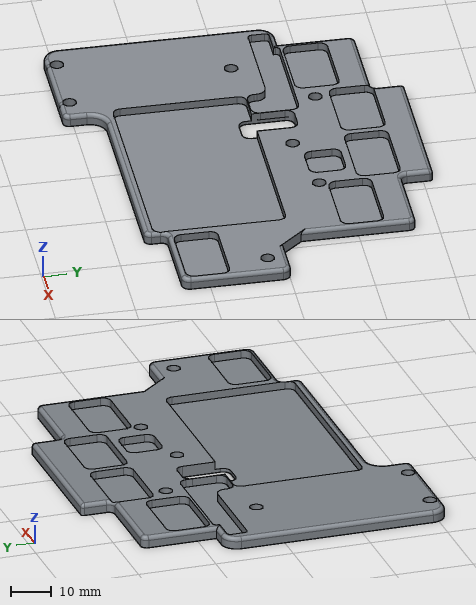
import cadquery as cq

LENGTH = 106.9
WIDTH = 84.8
THICKNESS = 3.0
LEG_RIGHT = 30.1
LEG_TOP = 57.5
BODY_BOTTOM = 10.0
BODY_RIGHT = 85.4
WING_BOTTOM = 15.5
WING_TOP = 42.7
SLOPE_LOWER_X = 95.6
SLOPE_UPPER_Y = 48.0
SHOULDER_LEFT = 7.7
SHOULDER_RIGHT = 91.0
SHOULDER_TOP = 76.7
TAB_LEFT = 30.9
TAB_RIGHT = 70.1

SHARP = 0
LEFT_CORNER_R = 4.0
LEG_INNER_R = 4.3
WING_CORNER_R = 2.0
SMALL_CORNER_R = 1.6
TAB_CORNER_R = 0.7
TOP_EDGE_R = 1.0
POCKET_R = 2.0

POCKET_DEPTH = 2.0
HOLE_DIAMETER = 3.3
HOLE_CENTERS = [
    (6.8, 2.6),
    (24.0, 2.6),
    (16.3, 44.4),
    (32.4, 62.4),
    (51.9, 53.1),
    (70.3, 56.3),
    (101.0, 37.7),
]

POCKETS = [
    (9.1, 58.4, 19.0, 11.1),
    (29.7, 66.1, 18.9, 11.1),
    (50.2, 66.1, 19.1, 11.0),
    (70.5, 58.4, 19.2, 10.8),
    (86.9, 16.7, 18.8, 11.0),
    (56.2, 55.0, 9.5, 9.2),
    (29.1, 12.2, 55.8, 33.4),
]
WINDOW = (37.2, 42.1, 7.7, 13.9)
WINDOW_WALL = 0.1

CHANNEL_LEFT = 2.7
CHANNEL_BOTTOM = 51.0
CHANNEL_STEP_X = 9.2
CHANNEL_STEP_Y = 56.2
CHANNEL_TOP = 57.7
CHANNEL_RIGHT = WINDOW[0] - WINDOW_WALL
CHANNEL_FOOT_LEFT = 28.8
CHANNEL_FOOT_BOTTOM = 45.8
CHANNEL_END_R = 1.0
CHANNEL_BEND_R = 2.5


def rounded_prism(corners):
    """Prism of full thickness on Z = 0; each corner is given as x, y, radius."""
    outline = [(x, y) for x, y, radius in corners]
    prism = cq.Workplane("XY").polyline(outline).close().extrude(THICKNESS)
    middle_height = THICKNESS / 2
    for x, y, radius in corners:
        if radius != SHARP:
            nearest = cq.selectors.NearestToPointSelector((x, y, middle_height))
            prism = prism.edges("|Z").edges(nearest).fillet(radius)
    return prism


def rounded_block(rectangle):
    """Rectangular prism of full thickness, all four corners rounded."""
    left, bottom, length, width = rectangle
    right = left + length
    top = bottom + width
    corners = [(left, bottom), (right, bottom), (right, top), (left, top)]
    return rounded_prism([(x, y, POCKET_R) for x, y in corners])


def make_plate():
    return rounded_prism([
        (0, 0, LEFT_CORNER_R),
        (LEG_RIGHT, 0, SMALL_CORNER_R),
        (LEG_RIGHT, BODY_BOTTOM, LEG_INNER_R),
        (BODY_RIGHT, BODY_BOTTOM, SMALL_CORNER_R),
        (BODY_RIGHT, WING_BOTTOM, SMALL_CORNER_R),
        (LENGTH, WING_BOTTOM, WING_CORNER_R),
        (LENGTH, WING_TOP, WING_CORNER_R),
        (SLOPE_LOWER_X, WING_TOP, SHARP),
        (SHOULDER_RIGHT, SLOPE_UPPER_Y, SHARP),
        (SHOULDER_RIGHT, SHOULDER_TOP, SMALL_CORNER_R),
        (TAB_RIGHT, SHOULDER_TOP, SMALL_CORNER_R),
        (TAB_RIGHT, WIDTH, TAB_CORNER_R),
        (TAB_LEFT, WIDTH, TAB_CORNER_R),
        (TAB_LEFT, SHOULDER_TOP, SMALL_CORNER_R),
        (SHOULDER_LEFT, SHOULDER_TOP, SMALL_CORNER_R),
        (SHOULDER_LEFT, LEG_TOP, SHARP),
        (0, LEG_TOP, LEFT_CORNER_R),
    ])


def round_top_edge(plate):
    """Round the outer upper rim except the sloped edge."""
    slope_x = (SLOPE_LOWER_X + SHOULDER_RIGHT) / 2
    slope_y = (WING_TOP + SLOPE_UPPER_Y) / 2
    on_slope = cq.selectors.NearestToPointSelector((slope_x, slope_y, THICKNESS))
    top_face = plate.faces(">Z")
    slope_edge = top_face.edges(on_slope).val()
    rim = top_face.val().outerWire().Edges()
    rounded = [edge for edge in rim if not edge.isSame(slope_edge)]
    return plate.newObject(rounded).fillet(TOP_EDGE_R)


def make_channel():
    return rounded_prism([
        (CHANNEL_LEFT, CHANNEL_BOTTOM, CHANNEL_END_R),
        (CHANNEL_FOOT_LEFT, CHANNEL_BOTTOM, CHANNEL_BEND_R),
        (CHANNEL_FOOT_LEFT, CHANNEL_FOOT_BOTTOM, POCKET_R),
        (CHANNEL_RIGHT, CHANNEL_FOOT_BOTTOM, POCKET_R),
        (CHANNEL_RIGHT, CHANNEL_TOP, POCKET_R),
        (CHANNEL_STEP_X, CHANNEL_TOP, CHANNEL_END_R),
        (CHANNEL_STEP_X, CHANNEL_STEP_Y, SHARP),
        (CHANNEL_LEFT, CHANNEL_STEP_Y, CHANNEL_END_R),
    ])


def cut_recesses(plate):
    floor = (0, 0, THICKNESS - POCKET_DEPTH)
    for pocket in POCKETS:
        plate = plate.cut(rounded_block(pocket).translate(floor))
    return plate.cut(make_channel().translate(floor))


def cut_holes(plate):
    holes = (
        cq.Workplane("XY")
        .pushPoints(HOLE_CENTERS)
        .circle(HOLE_DIAMETER / 2)
        .extrude(THICKNESS)
    )
    return plate.cut(holes)


def cut_window(plate):
    return plate.cut(rounded_block(WINDOW))


plate = round_top_edge(cut_holes(make_plate()))
result = cut_window(cut_recesses(plate))